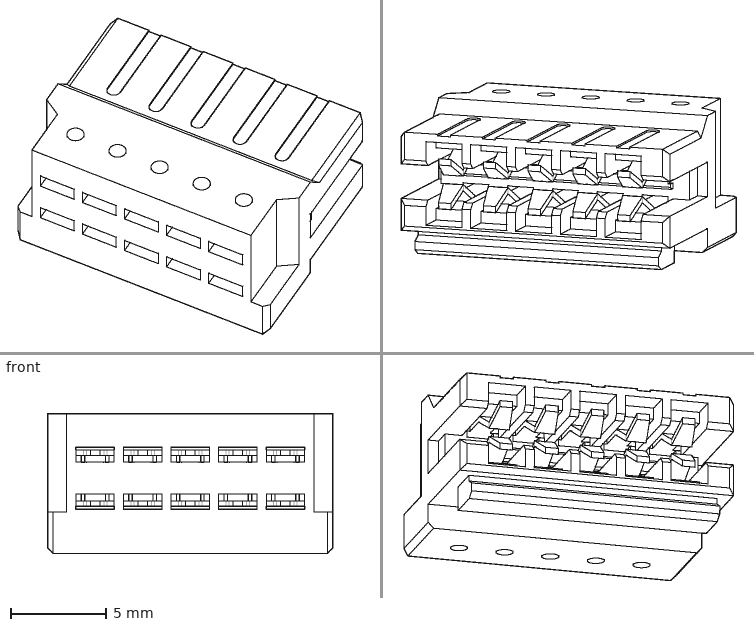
import cadquery as cq
import math

width = 15.0
depth = 11.0
height = 7.35
edge_chamfer = 0.3

block_depth = 4.82
upper_arm_top = 6.63
upper_arm_bottom = 4.86
lower_arm_top = 3.02
lower_arm_bottom = 1.3

step_width = 0.99
step_floor = 2.18
step_front_depth = 2.88
step_back_depth = 3.54

contact_count = 5
pitch = width / (contact_count + 1)
row_middle = 3.96
slot_width = 2.01
slot_height = 0.78
upper_slot_floor = 4.8
upper_slot_roof = upper_slot_floor + slot_height
ledge_opening = 1.44
ledge_front = step_back_depth
spring_pocket_front = 9.4
spring_pocket_roof = 6.2

contact_thickness = 0.3
contact_bottom = 5.15
contact_top = contact_bottom + contact_thickness
spring_width = 1.11
spring_end_width = 0.69
fork_tip = 0.9
fork_tip_offset = 0.54
fork_shoulder = 1.65
fork_throat = 1.36
fork_tip_radius = 0.09
fork_slit = 0.5
fork_slit_end = 2.78
fork_back = 6.0
apex_y = 9.52
apex_z = 4.18
rising_slope = 0.5
tail_slope = 0.58
spring_end = 10.88

wire_hole_diameter = 0.9
wire_hole_y = 2.05

groove_width = 0.72
groove_end = 6.0
groove_depth = 0.09

stop_width = 13.86
stop_back = 6.03
tooth_width = 12.0
tooth_back = 6.39
tooth_height = 0.8
tooth_chamfer = 0.14
tooth_notch_height = 0.18
tooth_notch_depth = 0.15

latch_width = 13.59
latch_front = 8.01
latch_neck = 10.0
latch_tip = 10.52
latch_chamfer_start = 10.06
latch_tip_low = 0.28
latch_tip_high = 0.72
latch_neck_low = 0.99

column_positions = [(i - (contact_count - 1) / 2) * pitch for i in range(contact_count)]


def box(x_size, y_range, z_range, x_middle=0.0):
    """Box centred on x_middle that spans the given Y and Z ranges."""
    y_low, y_high = y_range
    z_low, z_high = z_range
    solid = cq.Workplane("XY").box(x_size, y_high - y_low, z_high - z_low, centered=(True, False, False))
    return solid.translate((x_middle, y_low, z_low))


def side_profile(points, x_size, x_middle=0.0):
    """Extrude a (y, z) outline symmetrically about x_middle."""
    solid = cq.Workplane("YZ").polyline(points).close().extrude(x_size / 2, both=True)
    return solid.translate((x_middle, 0, 0))


def mirror_row(solid):
    """Copy of an upper-row shape flipped into the lower row."""
    return solid.mirror("XY", (0, 0, row_middle))


def make_wire_block():
    slope_foot_z = upper_arm_top - edge_chamfer
    slope_foot_y = block_depth + height - slope_foot_z
    outline = [
        (0, 0),
        (block_depth, 0),
        (block_depth, upper_arm_bottom),
        (slope_foot_y, upper_arm_bottom),
        (slope_foot_y, slope_foot_z),
        (block_depth, height),
        (0, height),
    ]
    block = side_profile(outline, width)
    block = block.edges("|Y and <Z").chamfer(edge_chamfer)
    block = block.faces("<Y").edges("|Z").chamfer(edge_chamfer)
    for side in (-1, 1):
        outer = side * width / 2
        inner = side * (width / 2 - step_width)
        step = (
            cq.Workplane("XY", origin=(0, 0, step_floor))
            .polyline([(outer, 0), (inner, 0), (inner, step_front_depth), (outer, step_back_depth)])
            .close()
            .extrude(height)
        )
        block = block.cut(step)
    return block


def make_upper_arm():
    arm = box(width, (block_depth, depth), (upper_arm_bottom, upper_arm_top))
    arm = arm.edges("|Y and >Z").chamfer(edge_chamfer)
    arm = arm.faces(">Y").edges("|Z").chamfer(edge_chamfer)
    return arm.edges("|X and >Y and <Z").chamfer(edge_chamfer)


def make_lower_arm():
    arm = box(width, (block_depth, depth), (lower_arm_bottom, lower_arm_top))
    arm = arm.faces(">Y").edges("|Z").chamfer(edge_chamfer)
    return arm.faces(">Y").edges("|X").chamfer(edge_chamfer)


def make_stop():
    stop = box(stop_width, (block_depth, stop_back), (lower_arm_top, upper_arm_bottom))
    tooth_low = row_middle - tooth_height / 2
    tooth = box(tooth_width, (stop_back, tooth_back), (tooth_low, tooth_low + tooth_height))
    tooth = tooth.faces(">Y").edges("|X").chamfer(tooth_chamfer)
    notch_low = row_middle - tooth_notch_height / 2
    notch_range = (notch_low, notch_low + tooth_notch_height)
    for side in (-1, 1):
        notch_x = side * tooth_width / 2
        tooth = tooth.cut(box(2 * tooth_notch_depth, (stop_back, tooth_back), notch_range, notch_x))
    return stop.union(tooth)


def make_latch():
    outline = [
        (latch_front, 0),
        (latch_chamfer_start, 0),
        (latch_tip, latch_tip_low),
        (latch_tip, latch_tip_high),
        (latch_neck, latch_neck_low),
        (latch_neck, lower_arm_bottom),
        (latch_front, lower_arm_bottom),
    ]
    return side_profile(outline, latch_width)


def make_cavity(x):
    """Upper-row contact cavity, open to the front, the back and the gap between the arms."""
    cavity = box(slot_width, (0, depth), (contact_bottom, upper_slot_roof), x)
    floor_range = (upper_slot_floor, contact_bottom)
    cavity = cavity.union(box(slot_width, (0, ledge_front), floor_range, x))
    cavity = cavity.union(box(ledge_opening, (ledge_front, stop_back), floor_range, x))
    cavity = cavity.union(box(slot_width, (stop_back, depth), floor_range, x))
    pocket = box(slot_width, (spring_pocket_front, depth), (upper_slot_floor, spring_pocket_roof), x)
    return cavity.union(pocket)


def make_contact(x):
    """Upper-row contact: forked plate gripped by the cavity walls, then a V-shaped spring."""
    slit = fork_slit / 2
    half = slot_width / 2
    fork = (
        cq.Workplane("XY", origin=(x, 0, contact_bottom))
        .moveTo(-half, fork_back)
        .lineTo(-half, fork_shoulder)
        .lineTo(-fork_tip_offset, fork_tip)
        .lineTo(-slit, fork_throat)
        .lineTo(-slit, fork_slit_end - slit)
        .threePointArc((0, fork_slit_end), (slit, fork_slit_end - slit))
        .lineTo(slit, fork_throat)
        .lineTo(fork_tip_offset, fork_tip)
        .lineTo(half, fork_shoulder)
        .lineTo(half, fork_back)
        .close()
        .extrude(contact_thickness)
    )
    fork = fork.edges("|Z and <Y").fillet(fork_tip_radius)
    leg_rise = contact_thickness * math.hypot(1, rising_slope)
    inner_apex_z = apex_z + leg_rise
    outline = [
        (fork_back, contact_bottom),
        (apex_y - (contact_bottom - apex_z) / rising_slope, contact_bottom),
        (apex_y, apex_z),
        (spring_end, apex_z + (spring_end - apex_y) * tail_slope),
        (spring_end, inner_apex_z + (spring_end - apex_y) * tail_slope),
        (apex_y, inner_apex_z),
        (apex_y - (contact_top - inner_apex_z) / rising_slope, contact_top),
        (fork_back, contact_top),
    ]
    plan = [
        (x - spring_width / 2, fork_back),
        (x - spring_width / 2, apex_y),
        (x - spring_end_width / 2, spring_end),
        (x + spring_end_width / 2, spring_end),
        (x + spring_width / 2, apex_y),
        (x + spring_width / 2, fork_back),
    ]
    spring = side_profile(outline, spring_width, x)
    spring = spring.intersect(cq.Workplane("XY").polyline(plan).close().extrude(height))
    return fork.union(spring)


def make_wire_hole(x):
    hole = cq.Workplane("XY", origin=(x, wire_hole_y, 0)).circle(wire_hole_diameter / 2)
    return hole.extrude(height)


def make_groove(x):
    round_radius = groove_width / 2
    groove_floor = upper_arm_top - groove_depth
    straight = box(groove_width, (groove_end + round_radius, depth), (groove_floor, upper_arm_top), x)
    end = cq.Workplane("XY", origin=(x, groove_end + round_radius, groove_floor)).circle(round_radius)
    return straight.union(end.extrude(groove_depth))


result = make_wire_block().union(make_upper_arm()).union(make_lower_arm())
result = result.union(make_stop()).union(make_latch())

for column_x in column_positions:
    cavity = make_cavity(column_x)
    result = result.cut(cavity).cut(mirror_row(cavity))
    result = result.cut(make_wire_hole(column_x)).cut(make_groove(column_x))

for column_x in column_positions:
    contact = make_contact(column_x)
    result = result.union(contact).union(mirror_row(contact))